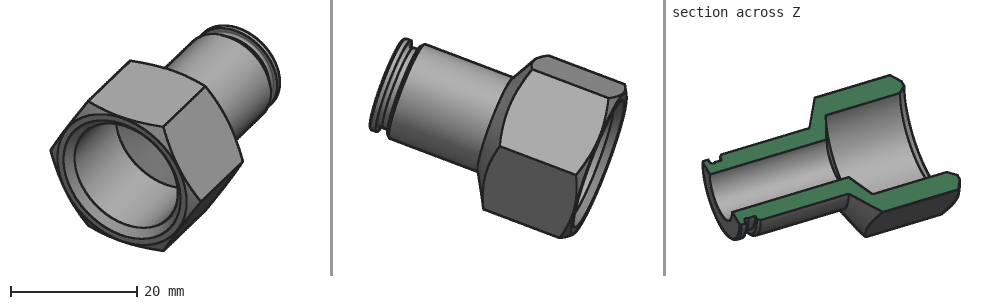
import cadquery as cq
import math

TOTAL_LENGTH = 36.05

HEX_SIDES = 6
HEX_ACROSS_FLATS = 24.0
HEX_ACROSS_CORNERS = HEX_ACROSS_FLATS / math.cos(math.pi / HEX_SIDES)
HEX_FACE_DIAMETER = 23.8
HEX_BEVEL_ANGLE = math.radians(30)
ENVELOPE_CLEARANCE = 1.0

SLEEVE_DIAMETER = 16.0
SLEEVE_START = 17.5
SLEEVE_CHAMFER = 0.45

COLLAR_DIAMETER = 15.5
COLLAR_THICKNESS = 1.12
COLLAR_CHAMFER = 0.25
NECK_DIAMETER = 13.65
NECK_LENGTH = 1.88
UNDERCUT_WIDTH = 0.78
UNDERCUT_DEPTH = 0.15
UNDERCUT_TOP_DIAMETER = 14.1

THROUGH_DIAMETER = 9.0
SOCKET_DIAMETER = 19.0
SOCKET_DEPTH = 14.0
SOCKET_MOUTH_DIAMETER = 21.55
SOCKET_FLOOR_RISE = 2.0

COLLAR_START = TOTAL_LENGTH - COLLAR_THICKNESS
SLEEVE_END = COLLAR_START - NECK_LENGTH
UNDERCUT_START = COLLAR_START - UNDERCUT_WIDTH


def revolve_about_y(profile):
    """Turn a closed (radius, y) outline a full revolution about the Y axis."""
    return profile.close().revolve(360, (0, 0, 0), (0, 1, 0))


def make_hex_end():
    """Hex prism trimmed by a bevel cone at the mouth and one running up to the sleeve."""
    prism = (
        cq.Workplane("XZ")
        .polygon(HEX_SIDES, HEX_ACROSS_CORNERS)
        .extrude(-SLEEVE_START)
    )
    face_radius = HEX_FACE_DIAMETER / 2
    sleeve_radius = SLEEVE_DIAMETER / 2
    outer_radius = HEX_ACROSS_CORNERS / 2 + ENVELOPE_CLEARANCE
    slope = math.tan(HEX_BEVEL_ANGLE)
    envelope = revolve_about_y(
        cq.Workplane("XY")
        .moveTo(0, 0)
        .lineTo(face_radius, 0)
        .lineTo(outer_radius, (outer_radius - face_radius) * slope)
        .lineTo(outer_radius, SLEEVE_START - (outer_radius - sleeve_radius) * slope)
        .lineTo(sleeve_radius, SLEEVE_START)
        .lineTo(0, SLEEVE_START)
    )
    return prism.intersect(envelope)


def make_sleeve_and_collar():
    """Turned sleeve with its chamfer, undercut neck and release collar."""
    sleeve_radius = SLEEVE_DIAMETER / 2
    neck_radius = NECK_DIAMETER / 2
    collar_radius = COLLAR_DIAMETER / 2
    return revolve_about_y(
        cq.Workplane("XY")
        .moveTo(0, SLEEVE_START)
        .lineTo(sleeve_radius, SLEEVE_START)
        .lineTo(sleeve_radius, SLEEVE_END - SLEEVE_CHAMFER)
        .lineTo(sleeve_radius - SLEEVE_CHAMFER, SLEEVE_END)
        .lineTo(neck_radius, SLEEVE_END)
        .lineTo(neck_radius, UNDERCUT_START)
        .threePointArc(
            (neck_radius - UNDERCUT_DEPTH, UNDERCUT_START + UNDERCUT_WIDTH / 2),
            (UNDERCUT_TOP_DIAMETER / 2, COLLAR_START),
        )
        .lineTo(collar_radius, COLLAR_START)
        .lineTo(collar_radius, TOTAL_LENGTH - COLLAR_CHAMFER)
        .lineTo(collar_radius - COLLAR_CHAMFER, TOTAL_LENGTH)
        .lineTo(0, TOTAL_LENGTH)
    )


def make_bore():
    """Countersunk socket with a conical floor, opening into the through hole."""
    mouth_radius = SOCKET_MOUTH_DIAMETER / 2
    socket_radius = SOCKET_DIAMETER / 2
    through_radius = THROUGH_DIAMETER / 2
    mouth_depth = mouth_radius - socket_radius
    return revolve_about_y(
        cq.Workplane("XY")
        .moveTo(0, 0)
        .lineTo(mouth_radius, 0)
        .lineTo(socket_radius, mouth_depth)
        .lineTo(socket_radius, SOCKET_DEPTH)
        .lineTo(through_radius, SOCKET_DEPTH + SOCKET_FLOOR_RISE)
        .lineTo(through_radius, TOTAL_LENGTH)
        .lineTo(0, TOTAL_LENGTH)
    )


result = make_hex_end().union(make_sleeve_and_collar()).cut(make_bore())